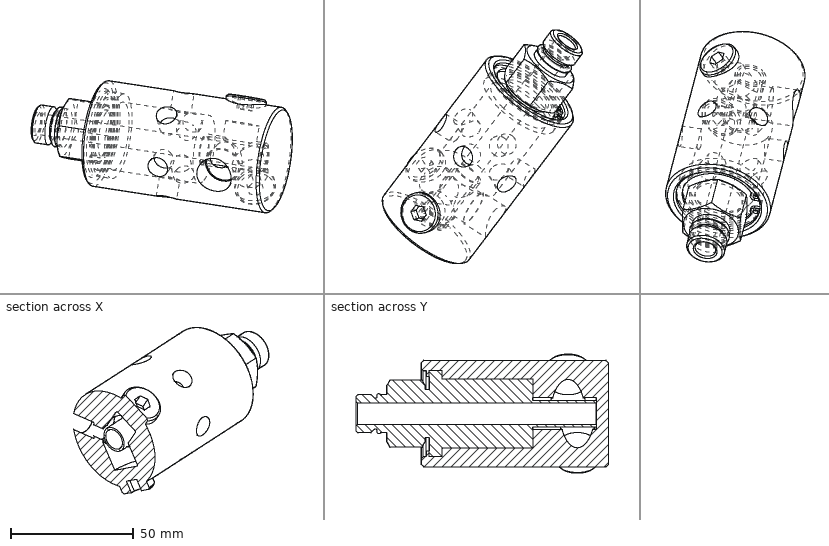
import cadquery as cq
import math

TOTAL_LENGTH = 103.4

HOUSING_DIAMETER = 43.7
HOUSING_START = 26.7
HOUSING_CHAMFER = 1.0
MOUTH_DIAMETER = 36.8
RECESS_DIAMETER = 35.1
CAVITY_DIAMETER = 12.8
CAVITY_END = 98.2

RING_FACE = 28.7
RING_THICKNESS = 1.2
RING_INNER_DIAMETER = 30.3
RING_GAP = 4.7
EAR_RADIUS = 2.2
EAR_HOLE_DIAMETER = 2.0
EAR_HOLE_CENTRE_RADIUS = 16.0

SMALL_HOLE_DIAMETER = 8.5
SMALL_HOLE_X = 59.9
SMALL_HOLE_COUNT = 6
PORT_DIAMETER = 13.9
PORT_MOUTH_DIAMETER = 14.9
PORT_SHOULDER_RADIUS = 10.9
OPEN_PORT_X = 84.2
OPEN_PORT_ANGLE = 180
PLUGGED_PORTS = [(86.8, 60), (90.6, -60)]

PLUG_HEAD_DIAMETER = 16.8
PLUG_CHAMFER = 0.8
PLUG_TOP_RADIUS = 23.8
PLUG_TIP_RADIUS = 12.9
SOCKET_ACROSS_FLATS = 6.0
SOCKET_DEPTH = 5.2

SPIGOT_DIAMETER = 15.8
SPIGOT_CHAMFER = 0.8
THREAD_END = 6.2
NECK_DIAMETER = 12.8
NECK_START = 7.7
SEAL_START = 8.5
SEAL_WIDTH = 1.9
SEAL_DIAMETER = 16.5
HEX_START = 12.6
HEX_END = 28.4
HEX_ACROSS_FLATS = 24.0
HEX_FACE_DIAMETER = 23.0
HEX_CHAMFER_ANGLE = 30
COLLAR_DIAMETER = 19.9
FLANGE_THICKNESS = 5.2
SHAFT_DIAMETER = 28.1
SHAFT_END = 72.4
TUBE_DIAMETER = 11.0
BORE_DIAMETER = 8.6
BORE_MOUTH_DIAMETER = 9.9

HOUSING_RADIUS = HOUSING_DIAMETER / 2
FLANGE_START = RING_FACE + RING_THICKNESS
FLANGE_END = FLANGE_START + FLANGE_THICKNESS


def axial_cylinder(diameter, start, end):
    """Cylinder on the X axis between two X positions."""
    return cq.Workplane("YZ", origin=(start, 0, 0)).circle(diameter / 2).extrude(end - start)


def axial_cone(start_diameter, end_diameter, start, length):
    """Truncated cone on the X axis, widening or narrowing along +X."""
    cone = cq.Solid.makeCone(
        start_diameter / 2, end_diameter / 2, length, cq.Vector(start, 0, 0), cq.Vector(1, 0, 0)
    )
    return cq.Workplane(obj=cone)


def hexagon(plane, across_flats, height):
    """Hexagonal prism with two corners on the local X axis of the plane."""
    return cq.Workplane(plane).polygon(6, across_flats / math.cos(math.pi / 6)).extrude(height)


def radial_plane(x, angle, radius):
    """Plane facing outwards at a radius, with its local X along the axis of the part."""
    outward = cq.Vector(0, math.cos(math.radians(angle)), math.sin(math.radians(angle)))
    return cq.Plane(origin=cq.Vector(x, 0, 0) + outward * radius, xDir=(1, 0, 0), normal=outward)


def radial_cylinder(diameter, x, angle, inner_radius, outer_radius):
    """Cylinder on a radial line between two distances from the X axis."""
    plane = radial_plane(x, angle, inner_radius)
    return cq.Workplane(plane).circle(diameter / 2).extrude(outer_radius - inner_radius)


def make_housing():
    """Cylindrical housing with its radial holes, fixed plugs and retaining ring."""
    body = axial_cylinder(HOUSING_DIAMETER, HOUSING_START, TOTAL_LENGTH)
    body = body.edges().chamfer(HOUSING_CHAMFER)
    body = body.cut(make_inner_space())
    for index in range(SMALL_HOLE_COUNT):
        angle = index * 360 / SMALL_HOLE_COUNT
        body = body.cut(radial_cylinder(SMALL_HOLE_DIAMETER, SMALL_HOLE_X, angle, 0, HOUSING_RADIUS))
    body = body.cut(make_port(OPEN_PORT_X, OPEN_PORT_ANGLE)).cut(make_open_port_mouth())
    for x, angle in PLUGGED_PORTS:
        body = body.cut(make_port(x, angle))
        body = body.union(make_plug(x, angle))
    return body.union(make_retaining_ring())


def make_inner_space():
    """Chamfered recess, flange seat, shaft bore and inner cavity, from front to back."""
    mouth_depth = (MOUTH_DIAMETER - RECESS_DIAMETER) / 2
    space = axial_cone(MOUTH_DIAMETER, RECESS_DIAMETER, HOUSING_START, mouth_depth)
    space = space.union(axial_cylinder(RECESS_DIAMETER, HOUSING_START, FLANGE_END))
    space = space.union(axial_cylinder(SHAFT_DIAMETER, HOUSING_START, SHAFT_END))
    return space.union(axial_cylinder(CAVITY_DIAMETER, HOUSING_START, CAVITY_END))


def make_port(x, angle):
    """Plain drilling from the outside into the cavity."""
    return radial_cylinder(PORT_DIAMETER, x, angle, 0, HOUSING_RADIUS)


def make_open_port_mouth():
    """Wider outer stretch of the open port."""
    return radial_cylinder(
        PORT_MOUTH_DIAMETER, OPEN_PORT_X, OPEN_PORT_ANGLE, PORT_SHOULDER_RADIUS, HOUSING_RADIUS
    )


def make_plug(x, angle):
    """Screw plug fixed in the housing: shank, chamfered head and hexagon socket."""
    head_bottom = math.sqrt(HOUSING_RADIUS**2 - (PLUG_HEAD_DIAMETER / 2) ** 2) - PLUG_CHAMFER
    head = radial_cylinder(PLUG_HEAD_DIAMETER, x, angle, head_bottom, PLUG_TOP_RADIUS)
    outward = radial_plane(x, angle, 0).zDir
    top = head.faces(cq.selectors.DirectionMinMaxSelector(outward, True))
    head = top.edges().chamfer(PLUG_CHAMFER)
    shank = radial_cylinder(PORT_DIAMETER, x, angle, PLUG_TIP_RADIUS, head_bottom)
    socket_floor = radial_plane(x, angle, PLUG_TOP_RADIUS - SOCKET_DEPTH)
    return head.union(shank).cut(hexagon(socket_floor, SOCKET_ACROSS_FLATS, SOCKET_DEPTH))


def make_retaining_ring():
    """Open ring with a drilled ear on each side of the gap, which lies on the -Y side."""
    ring = axial_cylinder(RECESS_DIAMETER, RING_FACE, FLANGE_START)
    ring = ring.cut(axial_cylinder(RING_INNER_DIAMETER, RING_FACE, FLANGE_START))
    ear_z = RING_GAP / 2 + EAR_RADIUS
    ear_y = -math.sqrt(EAR_HOLE_CENTRE_RADIUS**2 - ear_z**2)
    face = cq.Workplane("YZ", origin=(RING_FACE, 0, 0))
    ear_centres = [(ear_y, ear_z), (ear_y, -ear_z)]
    ears = face.pushPoints(ear_centres).circle(EAR_RADIUS).extrude(RING_THICKNESS)
    root_y = ear_y - EAR_RADIUS
    root_centres = [(root_y, ear_z), (root_y, -ear_z)]
    roots = face.pushPoints(root_centres).rect(2 * EAR_RADIUS, 2 * EAR_RADIUS).extrude(RING_THICKNESS)
    ears = ears.union(roots)
    ears = ears.intersect(axial_cylinder(RECESS_DIAMETER, RING_FACE, FLANGE_START))
    gap = face.center(-RECESS_DIAMETER / 2, 0).rect(RECESS_DIAMETER, RING_GAP).extrude(RING_THICKNESS)
    holes = face.pushPoints(ear_centres).circle(EAR_HOLE_DIAMETER / 2).extrude(RING_THICKNESS)
    return ring.cut(gap).union(ears).cut(holes)


def make_rotor():
    """Bored rotor: spigot, hexagon, flange held by the ring, shaft and inner tube."""
    rotor = make_spigot().union(make_hexagon_head())
    rotor = rotor.union(axial_cylinder(COLLAR_DIAMETER, HEX_END, FLANGE_START))
    rotor = rotor.union(axial_cylinder(RECESS_DIAMETER, FLANGE_START, FLANGE_END))
    rotor = rotor.union(axial_cylinder(SHAFT_DIAMETER, FLANGE_END, SHAFT_END))
    rotor = rotor.union(axial_cylinder(TUBE_DIAMETER, SHAFT_END, CAVITY_END))
    mouth_depth = (BORE_MOUTH_DIAMETER - BORE_DIAMETER) / 2
    rotor = rotor.cut(axial_cylinder(BORE_DIAMETER, 0, CAVITY_END))
    return rotor.cut(axial_cone(BORE_MOUTH_DIAMETER, BORE_DIAMETER, 0, mouth_depth))


def make_spigot():
    """Turned end with a chamfered tip, a tapered neck and a rounded seal ring."""
    radius = SPIGOT_DIAMETER / 2
    neck_radius = NECK_DIAMETER / 2
    seal_end = SEAL_START + SEAL_WIDTH
    seal_crest = (SEAL_START + SEAL_WIDTH / 2, SEAL_DIAMETER / 2)
    seal_foot = (SEAL_DIAMETER - SEAL_WIDTH) / 2
    return (
        cq.Workplane("XY")
        .lineTo(0, radius - SPIGOT_CHAMFER)
        .lineTo(SPIGOT_CHAMFER, radius)
        .lineTo(THREAD_END, radius)
        .lineTo(NECK_START, neck_radius)
        .lineTo(SEAL_START, neck_radius)
        .lineTo(SEAL_START, seal_foot)
        .threePointArc(seal_crest, (seal_end, seal_foot))
        .lineTo(seal_end, radius)
        .lineTo(HEX_START, radius)
        .lineTo(HEX_START, 0)
        .close()
        .revolve(360, (0, 0, 0), (1, 0, 0))
    )


def make_hexagon_head():
    """Hexagon with corners at +Z and -Z, bevelled alike at both ends."""
    length = HEX_END - HEX_START
    plane = cq.Plane(origin=(HEX_START, 0, 0), xDir=(0, 0, 1), normal=(1, 0, 0))
    head = hexagon(plane, HEX_ACROSS_FLATS, length)
    wide_diameter = HEX_FACE_DIAMETER + 2 * length / math.tan(math.radians(HEX_CHAMFER_ANGLE))
    head = head.intersect(axial_cone(HEX_FACE_DIAMETER, wide_diameter, HEX_START, length))
    return head.intersect(axial_cone(wide_diameter, HEX_FACE_DIAMETER, HEX_START, length))


housing = make_housing().solids()
rotor = make_rotor().solids()
result = cq.Compound.makeCompound([housing.val(), rotor.val()])